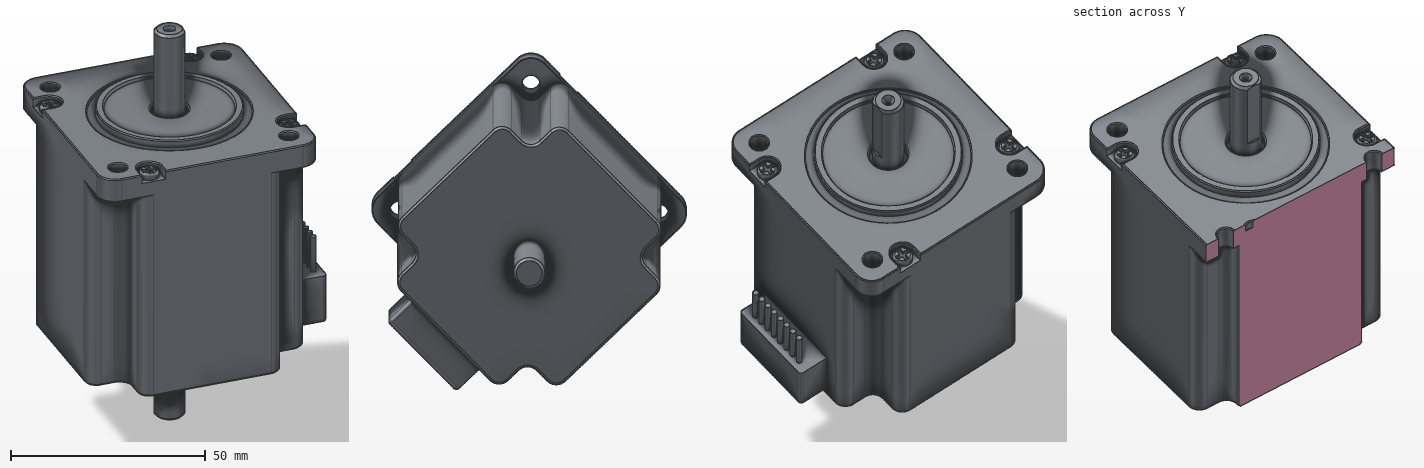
import cadquery as cq
import math


frame_width = 60.0
half_width = frame_width / 2
flange_thickness = 6.5
flange_corner_radius = 5.0
motor_length = 65.0
corner_notch = 10.4
notch_radius = 3.3
rear_chamfer = 0.6
edge_break = 0.3
chamfer_angle = 45.0
underside_edge_break = 0.2

mount_hole_diameter = 4.7
mount_hole_spacing = 47.2

pilot_diameter = 38.1
pilot_height = 1.6
groove_diameter = 42.5
groove_depth = 0.5
recess_diameter = 34.4
recess_depth = 0.8
recess_draft = 0.35
shaft_bore_diameter = 9.8
shaft_bore_depth = 2.5
shaft_bore_chamfer = 0.4

shaft_diameter = 8.0
front_shaft_length = 24.0
rear_shaft_length = 23.0
shaft_end_chamfer = 0.7
flat_offset = 3.5
flat_length = 20.0
centre_hole_diameter = 3.2
centre_pilot_diameter = 1.2
centre_pilot_depth = 3.0
centre_cone_angle = 60.0

screw_offset = 26.7
screw_shift = 16.2
pocket_width = 6.5
pocket_depth = 2.4
head_diameter = 5.2
head_top_diameter = 4.0
head_height = 1.8
head_shoulder_height = 0.6
head_bulge = 0.2
cross_length = 3.8
cross_width = 1.1
cross_depth = 1.0

connector_width = 25.4
connector_reach = 8.5
connector_height = 13.6
connector_rear_gap = 2.4
connector_fillet = 1.0
pin_count = 8
pin_pitch = 2.6
pin_diameter = 1.5
pin_length = 10.1
pin_wall_offset = 6.1


def cylinder(diameter, bottom, height):
    return cq.Workplane("XY").workplane(offset=bottom).circle(diameter / 2).extrude(height)


def cone_frustum(bottom_diameter, top_diameter, bottom, height):
    lower = cq.Workplane("XY").workplane(offset=bottom).circle(bottom_diameter / 2)
    return lower.workplane(offset=height).circle(top_diameter / 2).loft()


def make_flange():
    plate = cq.Workplane("XY").rect(frame_width, frame_width).extrude(-flange_thickness)
    plate = plate.edges("|Z").fillet(flange_corner_radius)
    plate = plate.faces(">Z").edges().chamfer(edge_break)
    return plate.faces("<Z").edges().chamfer(underside_edge_break)


def make_body():
    """Square body with a rounded square notch running along each corner."""
    body_top = -flange_thickness / 2
    body = cq.Workplane("XY").workplane(offset=body_top).rect(frame_width, frame_width)
    body = body.extrude(-motor_length - body_top)
    notches = (
        cq.Workplane("XY")
        .workplane(offset=body_top)
        .rect(frame_width, frame_width, forConstruction=True)
        .vertices()
        .rect(2 * corner_notch, 2 * corner_notch)
        .extrude(-motor_length - body_top)
    )
    body = body.cut(notches).edges("|Z").fillet(notch_radius)
    return body.faces("<Z").edges().chamfer(rear_chamfer)


def cut_mount_holes(motor):
    corners = (
        cq.Workplane("XY")
        .rect(mount_hole_spacing, mount_hole_spacing, forConstruction=True)
        .vertices()
    )
    countersink_diameter = mount_hole_diameter + 2 * edge_break
    drill = cylinder(mount_hole_diameter, -flange_thickness, flange_thickness)
    drill = drill.union(cone_frustum(mount_hole_diameter, countersink_diameter, -edge_break, edge_break))
    return motor.cut(corners.eachpoint(lambda place: drill.val().moved(place)))


def add_pilot(motor):
    motor = motor.cut(cylinder(groove_diameter, -groove_depth, groove_depth))
    groove_top_diameter = groove_diameter + 2 * edge_break
    motor = motor.cut(cone_frustum(groove_diameter, groove_top_diameter, -edge_break, edge_break))
    pilot = cylinder(pilot_diameter, -groove_depth, groove_depth + pilot_height)
    pilot = pilot.faces(">Z").edges().chamfer(edge_break)
    motor = motor.union(pilot)

    recess_floor = pilot_height - recess_depth
    recess_floor_diameter = recess_diameter - 2 * recess_draft
    motor = motor.cut(cone_frustum(recess_floor_diameter, recess_diameter, recess_floor, recess_depth))

    bore_mouth_diameter = shaft_bore_diameter + 2 * shaft_bore_chamfer
    mouth_bottom = recess_floor - shaft_bore_chamfer
    bore = cylinder(shaft_bore_diameter, recess_floor - shaft_bore_depth, shaft_bore_depth)
    mouth = cone_frustum(shaft_bore_diameter, bore_mouth_diameter, mouth_bottom, shaft_bore_chamfer)
    return motor.cut(bore).cut(mouth)


def make_shaft():
    """Round shaft through the motor, with a flat on the +Y side of both ends."""
    rear_end = -motor_length - rear_shaft_length
    shaft = cylinder(shaft_diameter, rear_end, front_shaft_length - rear_end)
    shaft = shaft.faces("<Z or >Z").edges().chamfer(shaft_end_chamfer)
    for flat_bottom in (rear_end, front_shaft_length - flat_length):
        flat = (
            cq.Workplane("XY")
            .box(shaft_diameter, shaft_diameter, flat_length, centered=(True, False, False))
            .translate((0, flat_offset, flat_bottom))
        )
        shaft = shaft.cut(flat)

    cone_slope = math.tan(math.radians(centre_cone_angle / 2))
    cone_depth = (centre_hole_diameter - centre_pilot_diameter) / 2 / cone_slope
    cone_bottom = front_shaft_length - cone_depth
    shaft = shaft.cut(cone_frustum(centre_pilot_diameter, centre_hole_diameter, cone_bottom, cone_depth))
    pilot_bottom = front_shaft_length - centre_pilot_depth
    return shaft.cut(cylinder(centre_pilot_diameter, pilot_bottom, centre_pilot_depth))


def pocket_outline(bottom):
    """Round-ended slot outline that runs out through the +Y side of the flange."""
    radius = pocket_width / 2
    return (
        cq.Workplane("XY")
        .workplane(offset=bottom)
        .moveTo(-radius, half_width)
        .lineTo(-radius, 0)
        .threePointArc((0, -radius), (radius, 0))
        .lineTo(radius, half_width)
        .close()
    )


def make_pocket_cutter():
    pocket = pocket_outline(-pocket_depth).extrude(pocket_depth)
    chamfered_mouth = pocket_outline(-edge_break).extrude(edge_break, taper=-chamfer_angle)
    return pocket.union(chamfered_mouth)


def make_screw_head():
    """Domed screw head with a cross recess, standing on the pocket floor."""
    head_radius = head_diameter / 2
    top_radius = head_top_diameter / 2
    shoulder = head_shoulder_height - pocket_depth
    top = head_height - pocket_depth
    head = (
        cq.Workplane("XZ")
        .moveTo(0, -pocket_depth)
        .lineTo(head_radius, -pocket_depth)
        .lineTo(head_radius, shoulder)
        .sagittaArc((top_radius, top), -head_bulge)
        .lineTo(0, top)
        .close()
        .revolve(360, (0, 0), (0, 1))
    )
    cross = cq.Workplane("XY").workplane(offset=top).rect(cross_length, cross_width).extrude(-cross_depth)
    return head.cut(cross).cut(cross.rotate((0, 0, 0), (0, 0, 1), 90))


def add_screws(motor):
    cutter = make_pocket_cutter().translate((screw_shift, screw_offset, 0))
    head = make_screw_head().translate((screw_shift, screw_offset, 0))
    for side in range(4):
        turn = ((0, 0, 0), (0, 0, 1), 90 * side)
        motor = motor.cut(cutter.rotate(*turn)).union(head.rotate(*turn))
    return motor


def make_connector():
    bottom = connector_rear_gap - motor_length
    block = (
        cq.Workplane("XY")
        .box(connector_width, connector_reach, connector_height, centered=(True, False, False))
        .edges("(|Z and >Y) or (<Z and (not <Y))")
        .fillet(connector_fillet)
        .translate((0, half_width, bottom))
    )
    pins = (
        cq.Workplane("XY")
        .workplane(offset=bottom + connector_height)
        .center(0, half_width + pin_wall_offset)
        .rarray(pin_pitch, 1, pin_count, 1)
        .circle(pin_diameter / 2)
        .extrude(pin_length)
    )
    return block.union(pins)


motor = make_flange().union(make_body())
motor = cut_mount_holes(motor)
motor = add_pilot(motor)
motor = add_screws(motor)
result = motor.union(make_shaft()).union(make_connector())